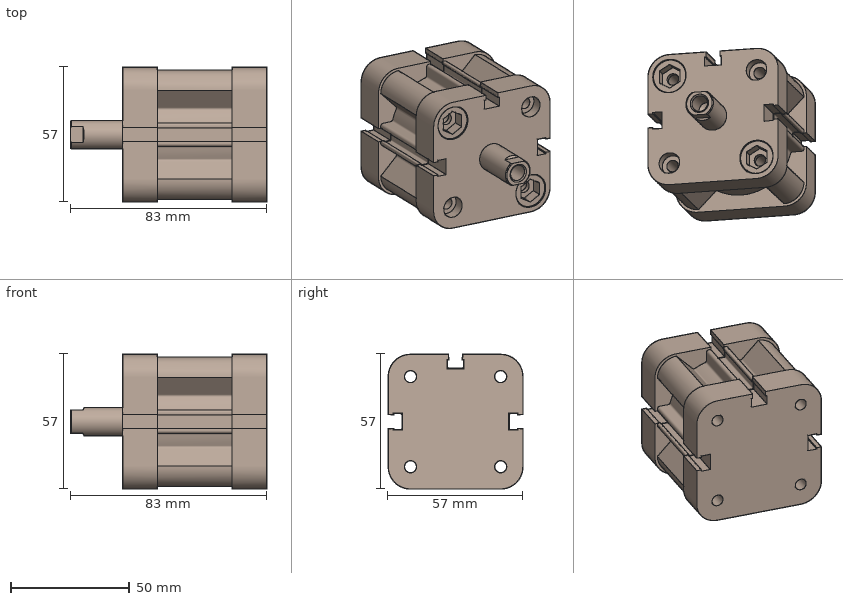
import cadquery as cq
import math

TOTAL_LENGTH = 83.0
WIDTH = 57.0
CAP_LENGTH = 14.7
BARREL_LENGTH = 31.5
FRONT_FACE = TOTAL_LENGTH - 2 * CAP_LENGTH - BARREL_LENGTH
BARREL_START = FRONT_FACE + CAP_LENGTH
REAR_CAP_START = BARREL_START + BARREL_LENGTH
HALF_WIDTH = WIDTH / 2
TOLERANCE = 0.01

CORNER_RADIUS = 9.5
CORNER_OFFSET = HALF_WIDTH - CORNER_RADIUS

BARREL_INSET = 1.1
TUBE_RADIUS = 22.3
COLUMN_RADIUS = 9.0
COLUMN_WIDTH = 12.3
COLUMN_ROOT_FILLET = 1.0
RIB_WIDTH = 10.05
RIB_ROOT_FILLET = 0.9
RIB_EDGE_FILLET = 1.2
MOUTH_FILLET = 0.5
FLOOR_FILLET = 0.5

CAP_SLOT = {"mouth": 6.0, "cavity": 7.2, "lip": 2.15, "floor": 6.15}
BARREL_SLOT = {"mouth": 5.6, "cavity": 6.7, "lip": 2.4, "floor": 5.8}
COLUMN_ANGLES = (45, 135, 225, 315)
SLOT_ANGLES = (0, 90, -90)

THROUGH_DIAMETER = 5.0
PLAIN_COUNTERBORE_DIAMETER = 9.0
PLAIN_COUNTERBORE_DEPTH = 5.15
SCREW_POCKET_DIAMETER = 14.6
SCREW_HEAD_DIAMETER = 14.1
SCREW_RECESS = 0.4
SCREW_LENGTH = 7.5
HEX_ACROSS_FLATS = 9.0
HEX_DEPTH = 5.2

ROD_DIAMETER = 12.0
ROD_CHAMFER = 0.4
FLATS_WIDTH = 10.0
FLATS_LENGTH = 5.3
FLATS_RUNOUT = 0.5
BORE_DIAMETER = 6.8
BORE_CHAMFER = 0.6
BORE_DEPTH = 12.0
DRILL_POINT_ANGLE = 118.0

SCREW_CORNERS = [(CORNER_OFFSET, CORNER_OFFSET), (-CORNER_OFFSET, -CORNER_OFFSET)]
PLAIN_CORNERS = [(CORNER_OFFSET, -CORNER_OFFSET), (-CORNER_OFFSET, CORNER_OFFSET)]


def section(x):
    """Sketch plane across the axis at x, with local axes along +Y and +Z."""
    return cq.Workplane("YZ", origin=(x, 0, 0))


def t_slot(x, length, mouth, cavity, lip, floor):
    """Cutter for one T-slot on the top side."""
    neck = section(x).center(0, HALF_WIDTH - lip / 2).rect(mouth, lip).extrude(length)
    height = floor - lip
    chamber = section(x).center(0, HALF_WIDTH - lip - height / 2).rect(cavity, height).extrude(length)
    return neck.union(chamber)


def around_sides(shape):
    """Copies of a top-side shape turned to every slotted side."""
    return [shape.rotate((0, 0, 0), (1, 0, 0), angle) for angle in SLOT_ANGLES]


def make_cap(x):
    """Square end cap with rounded corners and slotted sides."""
    cap = section(x).rect(WIDTH, WIDTH).extrude(CAP_LENGTH).edges("|X").fillet(CORNER_RADIUS)
    for cutter in around_sides(t_slot(x, CAP_LENGTH, **CAP_SLOT)):
        cap = cap.cut(cutter)
    return cap


def make_column(angle):
    """Diagonal strap from the axis to one corner, with a rounded outer end."""
    envelope = WIDTH - 2 * BARREL_INSET
    block = section(BARREL_START).rect(envelope, envelope).extrude(BARREL_LENGTH)
    block = block.edges("|X").fillet(COLUMN_RADIUS)
    strap = section(BARREL_START).center(WIDTH / 2, 0).rect(WIDTH, COLUMN_WIDTH).extrude(BARREL_LENGTH)
    return block.intersect(strap.rotate((0, 0, 0), (1, 0, 0), angle))


def make_rib():
    """Upright rib on the top side, with rounded outer edges."""
    height = HALF_WIDTH - BARREL_INSET
    rib = section(BARREL_START).center(0, height / 2).rect(RIB_WIDTH, height).extrude(BARREL_LENGTH)
    return rib.edges("|X and >Z").fillet(RIB_EDGE_FILLET)


def root_edges(solid, half_width, first_angle):
    """Edges where ribs (first angle 0) or columns (first angle 45) of this half width meet the tube."""
    spread = math.degrees(math.asin(half_width / TUBE_RADIUS))
    directions = [first_angle + 90 * turn + side * spread for turn in range(4) for side in (-1, 1)]
    roots = []
    for direction in directions:
        y = TUBE_RADIUS * math.cos(math.radians(direction))
        z = TUBE_RADIUS * math.sin(math.radians(direction))
        roots.append((y, z))
    edges = []
    for edge in solid.edges("|X").vals():
        middle = edge.Center()
        if any(math.hypot(middle.y - y, middle.z - z) < TOLERANCE for y, z in roots):
            edges.append(edge)
    return edges


def slot_edges(solid, slot_width, height):
    """Barrel edges lying half a slot width beside a side's middle, at the given height from the axis."""
    edges = []
    for edge in solid.edges("|X").vals():
        near, far = sorted((abs(edge.Center().y), abs(edge.Center().z)))
        if abs(near - slot_width / 2) < TOLERANCE and abs(far - height) < TOLERANCE:
            edges.append(edge)
    return edges


def make_barrel():
    """Tube with four corner columns and a slotted rib on every side but the underside."""
    barrel = section(BARREL_START).circle(TUBE_RADIUS).extrude(BARREL_LENGTH)
    for angle in COLUMN_ANGLES:
        barrel = barrel.union(make_column(angle))
    for rib in around_sides(make_rib()):
        barrel = barrel.union(rib)
    barrel = barrel.newObject(root_edges(barrel, COLUMN_WIDTH / 2, 45)).fillet(COLUMN_ROOT_FILLET)
    barrel = barrel.newObject(root_edges(barrel, RIB_WIDTH / 2, 0)).fillet(RIB_ROOT_FILLET)
    for cutter in around_sides(t_slot(BARREL_START, BARREL_LENGTH, **BARREL_SLOT)):
        barrel = barrel.cut(cutter)
    mouths = slot_edges(barrel, BARREL_SLOT["mouth"], HALF_WIDTH - BARREL_INSET)
    barrel = barrel.newObject(mouths).fillet(MOUTH_FILLET)
    floors = slot_edges(barrel, BARREL_SLOT["cavity"], HALF_WIDTH - BARREL_SLOT["floor"])
    return barrel.newObject(floors).fillet(FLOOR_FILLET)


def make_housing():
    """Barrel and both caps in one piece, with the corner holes and the rod hole."""
    housing = make_cap(FRONT_FACE).union(make_barrel()).union(make_cap(REAR_CAP_START))
    body_length = TOTAL_LENGTH - FRONT_FACE
    holes = section(FRONT_FACE).pushPoints(SCREW_CORNERS + PLAIN_CORNERS)
    housing = housing.cut(holes.circle(THROUGH_DIAMETER / 2).extrude(body_length))
    pockets = section(FRONT_FACE).pushPoints(SCREW_CORNERS)
    housing = housing.cut(pockets.circle(SCREW_POCKET_DIAMETER / 2).extrude(SCREW_RECESS + SCREW_LENGTH))
    counterbores = section(FRONT_FACE).pushPoints(PLAIN_CORNERS)
    housing = housing.cut(
        counterbores.circle(PLAIN_COUNTERBORE_DIAMETER / 2).extrude(PLAIN_COUNTERBORE_DEPTH)
    )
    rod_hole = section(FRONT_FACE).circle(ROD_DIAMETER / 2).extrude(CAP_LENGTH)
    return housing.cut(rod_hole)


def make_screw(corner):
    """Hollow collar screw with a hexagon socket."""
    seat = section(FRONT_FACE + SCREW_RECESS).center(*corner)
    screw = seat.circle(SCREW_HEAD_DIAMETER / 2).circle(THROUGH_DIAMETER / 2).extrude(SCREW_LENGTH)
    corner_radius = HEX_ACROSS_FLATS / math.sqrt(3)
    hexagon = cq.Sketch().regularPolygon(corner_radius, 6)
    socket = seat.placeSketch(hexagon).extrude(HEX_DEPTH)
    return screw.cut(socket)


def make_rod():
    """Piston rod with two wrench flats and a drilled bore in its free end."""
    rod = section(0).circle(ROD_DIAMETER / 2).extrude(BARREL_START)
    rod = rod.faces("<X").chamfer(ROD_CHAMFER)
    flat = FLATS_WIDTH / 2
    outer = ROD_DIAMETER / 2
    flat_profile = [
        (0, flat),
        (FLATS_LENGTH, flat),
        (FLATS_LENGTH + FLATS_RUNOUT, outer),
        (0, outer),
    ]
    cutter = cq.Workplane("XZ").polyline(flat_profile).close().extrude(outer, both=True)
    rod = rod.cut(cutter).cut(cutter.mirror("XY"))
    radius = BORE_DIAMETER / 2
    point_depth = radius / math.tan(math.radians(DRILL_POINT_ANGLE / 2))
    bore_profile = [
        (0, 0),
        (0, radius + BORE_CHAMFER),
        (BORE_CHAMFER, radius),
        (BORE_DEPTH, radius),
        (BORE_DEPTH + point_depth, 0),
    ]
    bore = cq.Workplane("XZ").polyline(bore_profile).close().revolve(360, (0, 0, 0), (1, 0, 0))
    return rod.cut(bore)


housing = make_housing()
piston_rod = make_rod()
screws = [make_screw(corner).val() for corner in SCREW_CORNERS]

result = cq.Compound.makeCompound([housing.val(), piston_rod.val(), *screws])